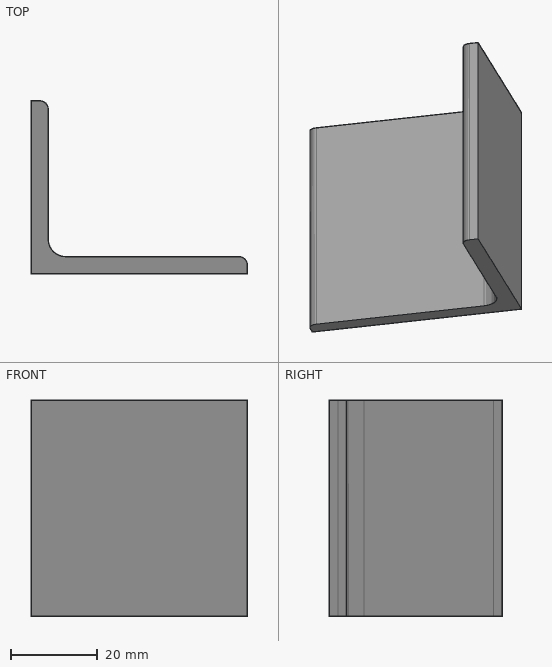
import cadquery as cq

LONG_LEG = 50.0
SHORT_LEG = 40.0
LENGTH = 50.0
THICKNESS = 4.0
ROOT_RADIUS = 4.0
TOE_RADIUS = 2.0


def angle_blank():
    """Sharp-edged L profile with its heel at the origin."""
    return (
        cq.Workplane("XY")
        .moveTo(0, 0)
        .lineTo(LONG_LEG, 0)
        .lineTo(LONG_LEG, THICKNESS)
        .lineTo(THICKNESS, THICKNESS)
        .lineTo(THICKNESS, SHORT_LEG)
        .lineTo(0, SHORT_LEG)
        .close()
        .extrude(LENGTH)
    )


def fillet_edge_at(body, x, y, radius):
    """Fillet the vertical edge passing nearest to the point (x, y)."""
    edge = cq.selectors.NearestToPointSelector((x, y, LENGTH / 2))
    return body.edges("|Z").edges(edge).fillet(radius)


angle = angle_blank()
angle = fillet_edge_at(angle, THICKNESS, THICKNESS, ROOT_RADIUS)
angle = fillet_edge_at(angle, LONG_LEG, THICKNESS, TOE_RADIUS)
angle = fillet_edge_at(angle, THICKNESS, SHORT_LEG, TOE_RADIUS)

result = angle